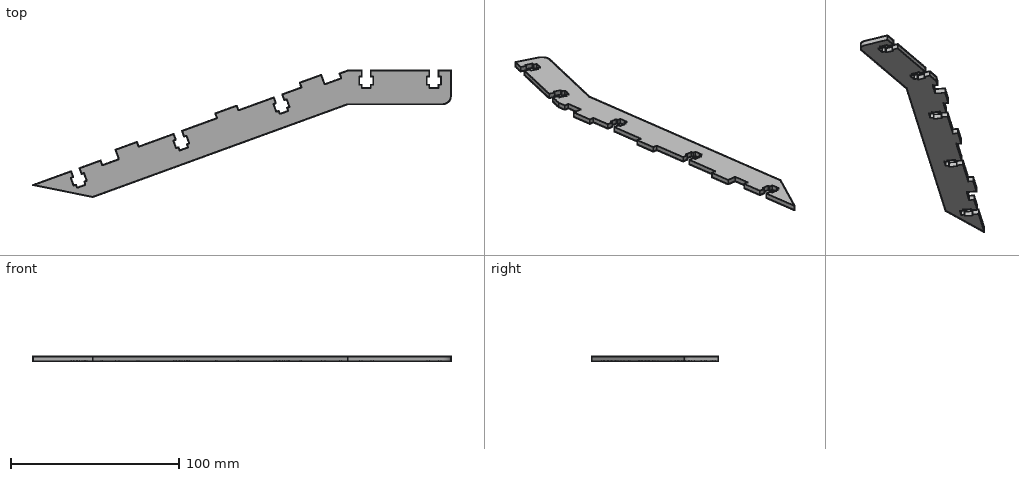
import cadquery as cq
import math

length = 248.2
height = 75.2
thickness = 3.0

arm_angle = 20.0
arm_width = 18.9
head_width = 20.0
bend_x = 186.9
head_corner_radius = 5.0

neck_width = 5.2
slot_depth = 10.5
nut_width = 8.2
nut_depth = 4.7
nut_top = 3.7
head_slot_places = (197.8, 238.0)
arm_slot_places = (-165.3, -100.5, -37.2)

tab_width = 13.6
tab_places = (-132.0, -69.0, -15.6)
notch_width = 10.5

notch_offset = (tab_width + notch_width) / 2
notch_places = (tab_places[0] - notch_offset, tab_places[-1] + notch_offset)

slope = math.radians(arm_angle)
bend_y = height - head_width


def arm_point(along, across):
    """Turn distances along and across the arm into plate X and Y."""
    x = bend_x + along * math.cos(slope) - across * math.sin(slope)
    y = bend_y + along * math.sin(slope) + across * math.cos(slope)
    return (x, y)


def block(width, depth, place, top, angle=0.0):
    """Box centred sideways on place, with its upper face at height top."""
    return (
        cq.Workplane("XY")
        .box(width, depth, thickness, centered=(True, False, False))
        .translate((0, top - depth, 0))
        .rotate((0, 0, 0), (0, 0, 1), angle)
        .translate((*place, 0))
    )


def t_slot(edge_point, angle):
    """T-slot that opens at edge_point, square to the tilted edge."""
    neck = block(neck_width, slot_depth, edge_point, 0, angle)
    nut_pocket = block(nut_width, nut_depth, edge_point, -nut_top, angle)
    return neck.union(nut_pocket)


def plate():
    """Bent plate without tabs, notches or slots."""
    lower_corner_x = bend_x - bend_y / math.tan(slope)
    upper_bend_x = bend_x + (head_width * math.cos(slope) - arm_width) / math.sin(slope)
    tip_y = height - upper_bend_x * math.tan(slope)
    outline = [
        (0, tip_y),
        (lower_corner_x, 0),
        (bend_x, bend_y),
        (length, bend_y),
        (length, height),
        (upper_bend_x, height),
    ]
    body = cq.Workplane("XY").polyline(outline).close().extrude(thickness)
    return body.edges("|Z and >X").edges("<Y").fillet(head_corner_radius)


result = plate()

for place in tab_places:
    tab = block(tab_width, 2 * thickness, arm_point(place, arm_width), thickness, arm_angle)
    result = result.union(tab)

for place in notch_places:
    notch = block(notch_width, thickness, arm_point(place, arm_width), 0, arm_angle)
    result = result.cut(notch)

for place in arm_slot_places:
    result = result.cut(t_slot(arm_point(place, arm_width), arm_angle))

for place in head_slot_places:
    result = result.cut(t_slot((place, height), 0))